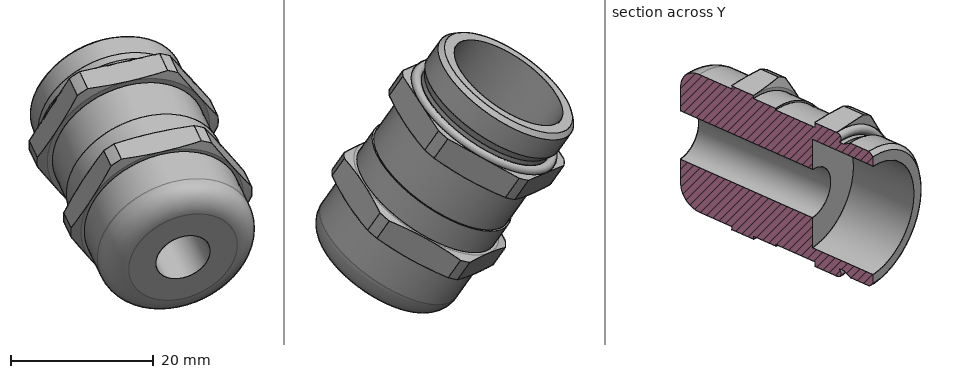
import cadquery as cq
import math

total_length = 35.0
thread_dia = 22.5
sleeve_dia = thread_dia
relief_dia = 21.2
cap_dia = 23.04

lead_chamfer_length = 0.7
thread_end = 4.15
relief_cone_end = 5.3

ring_dia = 24.0
ring_start = 5.75
ring_section_radius = 0.75

across_flats = 24.0
across_corners = 26.75
hex_sides = 6
hex_chamfer_angle = 15.0
body_hex_start = 6.6
cap_hex_start = 21.69
hex_width = 4.0

cap_start = 17.65
dome_radius = 3.5

entry_bore_dia = 18.0
entry_bore_depth = 11.0
cable_hole_dia = 8.0


def disc(diameter, start, end):
    """Solid cylinder on the X axis between two X positions."""
    return cq.Workplane("YZ").workplane(offset=start).circle(diameter / 2).extrude(end - start)


def make_entry_thread():
    """Plain thread envelope with a lead-in chamfer and a conical run-out into the relief groove."""
    return (
        cq.Workplane("XY")
        .moveTo(0, 0)
        .lineTo(0, relief_dia / 2)
        .lineTo(lead_chamfer_length, thread_dia / 2)
        .lineTo(thread_end, thread_dia / 2)
        .lineTo(relief_cone_end, relief_dia / 2)
        .lineTo(body_hex_start, relief_dia / 2)
        .lineTo(body_hex_start, 0)
        .close()
        .revolve(360, (0, 0, 0), (1, 0, 0))
    )


def make_sealing_ring():
    """O-ring lying in the relief groove, partly sunk into the body hexagon."""
    section_center = (ring_start + ring_section_radius, ring_dia / 2 - ring_section_radius)
    return (
        cq.Workplane("XY")
        .moveTo(*section_center)
        .circle(ring_section_radius)
        .revolve(360, (0, 0, 0), (1, 0, 0))
    )


def make_hexagon(start, chamfer_front):
    """Hexagon with flats facing +Z and -Z, rounded corners and a conical chamfer on one or both ends."""
    end = start + hex_width
    flat_radius = across_flats / 2
    corner_radius = across_corners / 2
    setback = (corner_radius - flat_radius) * math.tan(math.radians(hex_chamfer_angle))

    if chamfer_front:
        front_corner = [(start, flat_radius), (start + setback, corner_radius)]
    else:
        front_corner = [(start, corner_radius)]
    back_corner = [(end - setback, corner_radius), (end, flat_radius)]
    envelope = (
        cq.Workplane("XZ")
        .polyline([(start, 0)] + front_corner + back_corner + [(end, 0)])
        .close()
        .revolve(360, (0, 0, 0), (1, 0, 0))
    )
    sharp_corner_dia = across_flats / math.cos(math.pi / hex_sides)
    prism = (
        cq.Workplane("YZ")
        .workplane(offset=start)
        .polygon(hex_sides, sharp_corner_dia)
        .extrude(hex_width)
    )
    return prism.intersect(envelope)


def make_cap():
    """Clamping cap with a domed far end."""
    return disc(cap_dia, cap_start, total_length).faces(">X").edges().fillet(dome_radius)


outside = (
    make_entry_thread()
    .union(make_sealing_ring())
    .union(make_hexagon(body_hex_start, chamfer_front=False))
    .union(disc(sleeve_dia, body_hex_start, cap_start))
    .union(make_cap())
    .union(make_hexagon(cap_hex_start, chamfer_front=True))
)

result = outside.cut(disc(entry_bore_dia, 0, entry_bore_depth)).cut(disc(cable_hole_dia, 0, total_length))